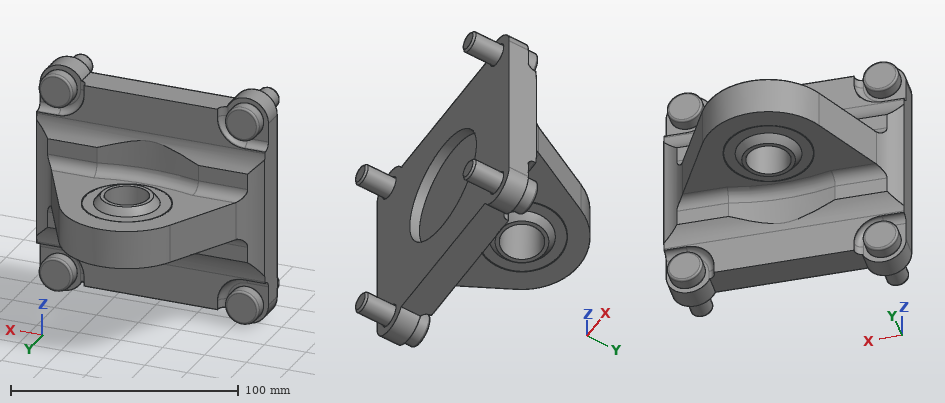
import cadquery as cq
import math


plate_width = 109.0
plate_height = 97.2
plate_thickness = 14.0
lug_radius = 10.5
lug_thickness = 10.0
lug_offset = plate_width / 2 - lug_radius
recess_diameter = 55.0
recess_depth = 5.0

screw_offset = 44.5
shank_diameter = 10.0
shank_end_y = -15.0
shank_chamfer = 1.0
head_diameter = 16.0
head_height = 6.5
head_round = 1.0
head_base_round = 0.8
clearance_diameter = 11.0
pocket_radius = 12.6
pocket_floor_fillet = 3.3

eye_center_y = 41.0
eye_radius = 30.0
eye_thickness = 18.0
eye_lean = math.radians(28)
foot_radius = 15.0

ridge_top_y = 17.4
ridge_top_length = 43.0
root_fillet = 5.0
dip_width = 48.4
dip_depth = 3.0

bore_diameter = 20.0
ball_diameter = 34.4
ball_width = 25.1
ring_diameter = 40.0
ring_groove_width = 0.2
ring_groove_depth = 0.5

select_margin = 0.1

CORNERS = [(sx, sz) for sx in (-1, 1) for sz in (-1, 1)]


def disc(diameter, start_y, end_y, x=0.0, z=0.0):
    """Cylinder along Y between two heights, centred on (x, z)."""
    return cq.Workplane(cq.Solid.makeCylinder(
        diameter / 2, end_y - start_y, cq.Vector(x, start_y, z), cq.Vector(0, 1, 0)))


def make_plate():
    """Plate with two straight sides that run into the round corner lugs."""
    half_height = plate_height / 2
    notch_x = lug_offset - math.sqrt(lug_radius**2 - (half_height - lug_offset)**2)
    on_mounting_face = (True, False, True)
    middle = cq.Workplane("XY").box(2 * notch_x, plate_thickness, plate_height, centered=on_mounting_face)
    sides = cq.Workplane("XY").box(plate_width, plate_thickness, 2 * lug_offset, centered=on_mounting_face)
    plate = middle.union(sides)
    for sx, sz in CORNERS:
        plate = plate.union(disc(2 * lug_radius, 0, plate_thickness, sx * lug_offset, sz * lug_offset))
    return plate


def make_eye_outline():
    """Eye seen along its bore: round top, leaning sides and flared feet on the plate."""
    tangent_x = eye_radius * math.cos(eye_lean)
    tangent_y = eye_center_y + eye_radius * math.sin(eye_lean)
    foot_y = plate_thickness + foot_radius * (1 - math.sin(eye_lean))
    foot_x = tangent_x + (tangent_y - foot_y) * math.tan(eye_lean)
    foot_center_x = foot_x + foot_radius * math.cos(eye_lean)
    foot_center_y = plate_thickness + foot_radius
    edge_x = plate_width / 2
    edge_y = foot_center_y - math.sqrt(foot_radius**2 - (foot_center_x - edge_x)**2)
    middle_angle = (eye_lean + math.asin((foot_center_y - edge_y) / foot_radius)) / 2
    middle_x = foot_center_x - foot_radius * math.cos(middle_angle)
    middle_y = foot_center_y - foot_radius * math.sin(middle_angle)
    return (
        cq.Workplane("XY")
        .moveTo(-edge_x, lug_thickness)
        .lineTo(edge_x, lug_thickness)
        .lineTo(edge_x, edge_y)
        .threePointArc((middle_x, middle_y), (foot_x, foot_y))
        .lineTo(tangent_x, tangent_y)
        .threePointArc((0, eye_center_y + eye_radius), (-tangent_x, tangent_y))
        .lineTo(-foot_x, foot_y)
        .threePointArc((-middle_x, middle_y), (-edge_x, edge_y))
        .close()
        .extrude(plate_height / 2, both=True)
    )


def make_ridge():
    """Raised strip along X whose ends flare down to the plate, with a shallow dip across it."""
    rise = ridge_top_y - plate_thickness
    top_z = ridge_top_length / 2
    flare_angle = math.acos(1 - rise / foot_radius)
    end_z = top_z + foot_radius * math.sin(flare_angle)
    middle_z = end_z - foot_radius * math.sin(flare_angle / 2)
    middle_y = plate_thickness + foot_radius * (1 - math.cos(flare_angle / 2))
    strip = (
        cq.Workplane("YZ")
        .moveTo(lug_thickness, -end_z)
        .lineTo(plate_thickness, -end_z)
        .threePointArc((middle_y, -middle_z), (ridge_top_y, -top_z))
        .lineTo(ridge_top_y, top_z)
        .threePointArc((middle_y, middle_z), (plate_thickness, end_z))
        .lineTo(lug_thickness, end_z)
        .close()
        .extrude(plate_width, both=True)
    )
    dip_radius = ((dip_width / 2)**2 + dip_depth**2) / (2 * dip_depth)
    dip = cq.Workplane("XY").center(0, ridge_top_y - dip_depth + dip_radius).circle(dip_radius)
    return strip.cut(dip.extrude(plate_height, both=True))


def make_eye():
    """Eye slab rising from the ridge, filleted at its root and trimmed to the eye outline."""
    slab_height = eye_center_y + eye_radius - lug_thickness
    slab = (
        cq.Workplane("XY")
        .box(2 * plate_width, slab_height, eye_thickness, centered=(True, False, True))
        .translate((0, lug_thickness, 0))
    )
    blank = make_ridge().union(slab)
    for face_z in (-eye_thickness / 2, eye_thickness / 2):
        root_edges = cq.selectors.BoxSelector(
            (-plate_width, ridge_top_y - dip_depth - select_margin, face_z - select_margin),
            (plate_width, ridge_top_y + select_margin, face_z + select_margin),
        )
        blank = blank.edges(root_edges).fillet(root_fillet)
    return blank.intersect(make_eye_outline())


def make_pocket():
    """Clearance around the screw head in the +X +Z corner, open towards the plate edges."""
    wall = screw_offset - pocket_radius
    size = 2 * pocket_radius
    return (
        cq.Workplane("XY")
        .box(size, size, size, centered=False)
        .translate((wall, lug_thickness, wall))
        .edges("|Y and <X and <Z").fillet(pocket_radius)
        .faces("<Y").edges("not(>X or >Z)").fillet(pocket_floor_fillet)
    )


def make_bearing():
    """Ball with flat ends that stands out of both faces of the eye."""
    ball = cq.Workplane("XY").sphere(ball_diameter / 2)
    width = cq.Workplane("XY").box(ball_diameter, ball_diameter, ball_width)
    return ball.intersect(width).translate((0, eye_center_y, 0))


def make_ring_grooves():
    """Fine circular grooves around the bearing ring, one in each face of the eye."""
    groove = (
        cq.Workplane("XY", origin=(0, eye_center_y, eye_thickness / 2 - ring_groove_depth))
        .circle(ring_diameter / 2)
        .circle(ring_diameter / 2 - ring_groove_width)
        .extrude(ring_groove_depth)
    )
    return groove.union(groove.mirror("XY"))


def make_housing():
    """Plate, eye and bearing in one piece, with the cuts for the screws, recess and bore."""
    housing = make_plate().union(make_eye())
    pocket = make_pocket()
    for sx, sz in CORNERS:
        corner_pocket = pocket
        if sx < 0:
            corner_pocket = corner_pocket.mirror("YZ")
        if sz < 0:
            corner_pocket = corner_pocket.mirror("XY")
        housing = housing.cut(corner_pocket)
        housing = housing.cut(disc(clearance_diameter, 0, lug_thickness, sx * screw_offset, sz * screw_offset))
    housing = housing.cut(disc(recess_diameter, 0, recess_depth))
    housing = housing.cut(make_ring_grooves()).union(make_bearing())
    bore = cq.Workplane("XY").center(0, eye_center_y).circle(bore_diameter / 2)
    return housing.cut(bore.extrude(ball_width, both=True))


def make_screw(x, z):
    """Screw whose head rests on a corner lug."""
    head = disc(head_diameter, lug_thickness, lug_thickness + head_height, x, z)
    head = head.faces(">Y").edges().fillet(head_round)
    head = head.faces("<Y").edges().fillet(head_base_round)
    shank = disc(shank_diameter, shank_end_y, lug_thickness, x, z).faces("<Y").chamfer(shank_chamfer)
    return head.union(shank)


housing = make_housing()
screws = [make_screw(sx * screw_offset, sz * screw_offset) for sx, sz in CORNERS]

result = cq.Compound.makeCompound([housing.val(), *[screw.val() for screw in screws]])